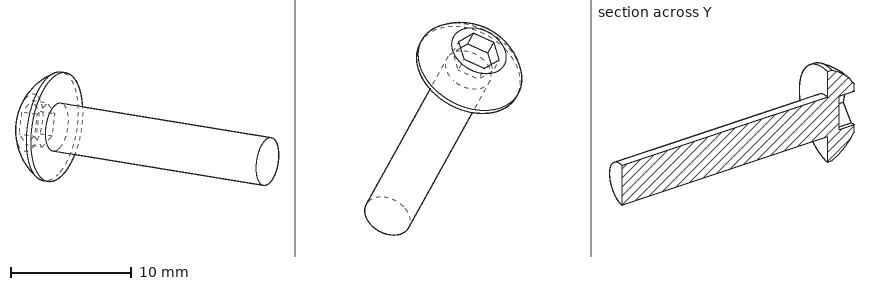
import cadquery as cq
import math

total_length = 22.4
shank_diameter = 4.03

head_diameter = 9.17
head_height = 2.6
head_face_diameter = 4.82
rim_thickness = 0.43

socket_across_corners = 3.7
socket_depth = 1.45
socket_turn = 15.0

head_radius = head_diameter / 2
face_radius = head_face_diameter / 2
shank_radius = shank_diameter / 2
dome_height = head_height - rim_thickness

sphere_center = (dome_height**2 + head_radius**2 - face_radius**2) / (2 * dome_height)
sphere_radius = math.hypot(sphere_center, face_radius)
dome_mid_x = dome_height / 2
dome_mid_radius = math.sqrt(sphere_radius**2 - (sphere_center - dome_mid_x) ** 2)


def make_body():
    """Head and shank as one solid of revolution about X."""
    half_profile = (
        cq.Workplane("XY")
        .lineTo(0, face_radius)
        .threePointArc((dome_mid_x, dome_mid_radius), (dome_height, head_radius))
        .lineTo(head_height, head_radius)
        .lineTo(head_height, shank_radius)
        .lineTo(total_length, shank_radius)
        .lineTo(total_length, 0)
        .close()
    )
    return half_profile.revolve(360, (0, 0, 0), (1, 0, 0))


def make_socket():
    """Flat-bottomed hexagonal key socket, with one corner turned from +Y toward +Z."""
    hexagon = cq.Workplane("YZ").polygon(6, socket_across_corners)
    return hexagon.extrude(socket_depth).rotate((0, 0, 0), (1, 0, 0), socket_turn)


result = make_body().cut(make_socket())